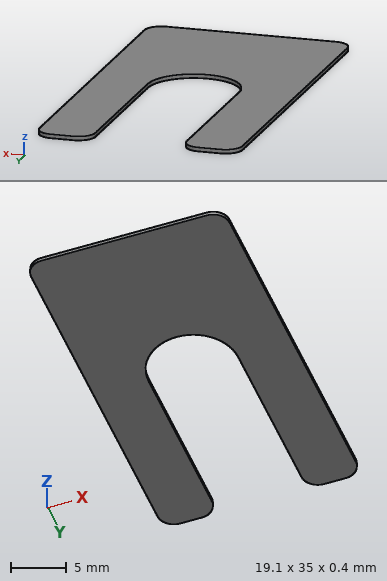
import cadquery as cq

length = 35.05
width = 19.05
thickness = 0.4
corner_radius = 1.58

slot_width = 8.6
slot_depth = 21.85


def make_plate():
    """Flat plate standing on the XY plane, centred on the Z axis."""
    return cq.Workplane("XY").box(width, length, thickness, centered=(True, True, False))


def make_slot():
    """Cutter that enters from the +Y end and finishes in a half circle."""
    half_width = slot_width / 2
    open_end = length / 2
    arc_center = open_end - slot_depth + half_width
    return (
        cq.Workplane("XY")
        .moveTo(-half_width, open_end)
        .lineTo(-half_width, arc_center)
        .threePointArc((0, arc_center - half_width), (half_width, arc_center))
        .lineTo(half_width, open_end)
        .close()
        .extrude(thickness)
    )


slotted_plate = make_plate().cut(make_slot())
end_corners = slotted_plate.faces("<Y or >Y").edges("|Z")
result = slotted_plate.newObject(end_corners.vals()).fillet(corner_radius)